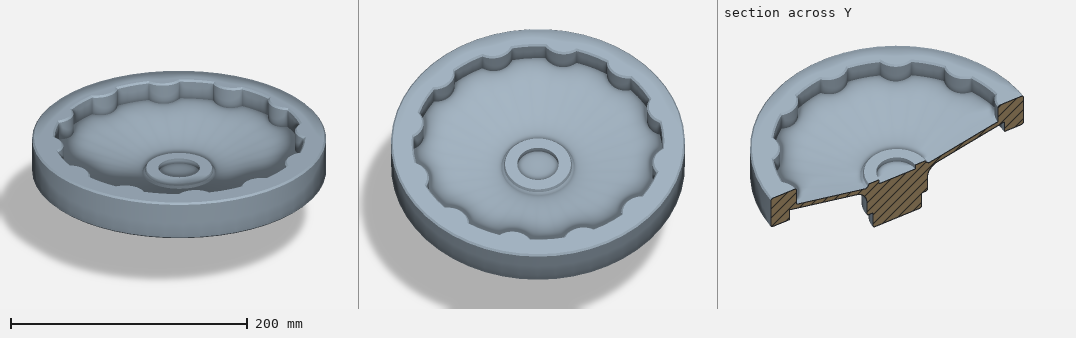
import cadquery as cq
import math

wheel_radius = 124.0
total_height = 83.0
rim_height = 33.7
rim_bottom = total_height - rim_height
edge_chamfer = 1.5

spigot_radius = 48.0 / 2
spigot_height = 17.0
hub_radius = 60.0 / 2
hub_straight_top = 33.7
hub_fillet = 13.0

web_slope = math.radians(12.5)
dish_radius = 105.2
dish_wall_height = 17.0

boss_top_radius = 27.8
boss_base_radius = 28.8
boss_foot_radius = 31.0
boss_depth = 29.5
boss_side_height = 2.5
boss_top = total_height - boss_depth
boss_base = boss_top - boss_side_height
bore_radius = 35.0 / 2
bore_depth = 4.7

grip_count = 12
grip_radius = 18.0
grip_inner_reach = 98.5
mouth_chamfer = 1.5


def web_top(radius):
    """Height of the upper cone of the web at a given radius."""
    dish_wall_bottom = total_height - dish_wall_height
    return dish_wall_bottom - (dish_radius - radius) * math.tan(web_slope)


def fillet_point(angle):
    """Radius and height of a point on the hub fillet, from the hub wall (0) to the web."""
    return (
        hub_radius + hub_fillet * (1 - math.cos(angle)),
        hub_straight_top + hub_fillet * math.sin(angle),
    )


def make_blank():
    """Rim, hub and underside of the web, solid up to the top of the rim."""
    fillet_sweep = math.pi / 2 - web_slope
    fillet_end_radius, fillet_end_height = fillet_point(fillet_sweep)
    under_web_rise = (dish_radius - fillet_end_radius) * math.tan(web_slope)
    profile = (
        cq.Workplane("XZ")
        .moveTo(0, 0)
        .lineTo(spigot_radius - edge_chamfer, 0)
        .lineTo(spigot_radius, edge_chamfer)
        .lineTo(spigot_radius, spigot_height)
        .lineTo(hub_radius - edge_chamfer, spigot_height)
        .lineTo(hub_radius, spigot_height + edge_chamfer)
        .lineTo(hub_radius, hub_straight_top)
        .threePointArc(fillet_point(fillet_sweep / 2), (fillet_end_radius, fillet_end_height))
        .lineTo(dish_radius, fillet_end_height + under_web_rise)
        .lineTo(dish_radius, rim_bottom)
        .lineTo(wheel_radius - edge_chamfer, rim_bottom)
        .lineTo(wheel_radius, rim_bottom + edge_chamfer)
        .lineTo(wheel_radius, total_height - edge_chamfer)
        .lineTo(wheel_radius - edge_chamfer, total_height)
        .lineTo(0, total_height)
        .close()
    )
    return profile.revolve()


def make_dish():
    """Space above the web: a cone around the boss, with the grips left standing and its mouth bevelled."""
    dish = (
        cq.Workplane("XZ")
        .moveTo(0, boss_top)
        .lineTo(boss_top_radius, boss_top)
        .lineTo(boss_base_radius, boss_base)
        .lineTo(boss_foot_radius, web_top(boss_foot_radius))
        .lineTo(dish_radius, web_top(dish_radius))
        .lineTo(dish_radius, total_height - mouth_chamfer)
        .lineTo(dish_radius + mouth_chamfer, total_height)
        .lineTo(0, total_height)
        .close()
        .revolve()
    )
    grips = (
        cq.Workplane("XY")
        .polarArray(grip_inner_reach + grip_radius, 0, 360, grip_count)
        .circle(grip_radius)
        .extrude(total_height)
        .faces(">Z")
        .chamfer(mouth_chamfer)
    )
    return dish.cut(grips)


wheel = make_blank().cut(make_dish())
bore = cq.Workplane("XY", origin=(0, 0, boss_top - bore_depth)).circle(bore_radius).extrude(bore_depth)
result = wheel.cut(bore)